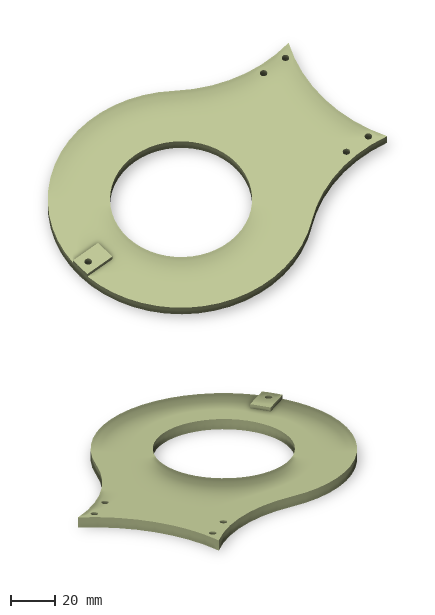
import cadquery as cq
import math

total_length = 153.0
ring_radius = 60.0
bore_diameter = 64.0
plate_thickness = 5.0

waist_half_width = 32.7
flank_radius = 70.0
top_edge_radius = 76.5
corner_y = total_length - ring_radius

hole_diameter = 3.4
neck_hole_spacing_x = 57.2
neck_hole_spacing_y = 13.0
neck_hole_centre_y = 80.0
tab_hole_y = -55.0

tab_width = 10.0
tab_length = 15.0
tab_height = 2.0

flank_x = waist_half_width + flank_radius
flank_y = math.sqrt((ring_radius + flank_radius) ** 2 - flank_x**2)


def flank_point(y):
    """Point of the right flank arc at height y."""
    return flank_x - math.sqrt(flank_radius**2 - (y - flank_y) ** 2), y


def mirrored(point):
    """Point reflected to the left half."""
    return -point[0], point[1]


def make_plate():
    """Ring and neck outline with the central bore."""
    tangent_ratio = ring_radius / (ring_radius + flank_radius)
    tangent_point = (flank_x * tangent_ratio, flank_y * tangent_ratio)
    corner = flank_point(corner_y)
    waist = (waist_half_width, flank_y)
    top_edge_sag = top_edge_radius - math.sqrt(top_edge_radius**2 - corner[0] ** 2)
    return (
        cq.Workplane("XY")
        .moveTo(*tangent_point)
        .threePointArc(waist, corner)
        .threePointArc((0, corner_y - top_edge_sag), mirrored(corner))
        .threePointArc(mirrored(waist), mirrored(tangent_point))
        .threePointArc((0, -ring_radius), tangent_point)
        .close()
        .extrude(plate_thickness)
        .faces(">Z")
        .workplane(origin=(0, 0, plate_thickness))
        .hole(bore_diameter)
    )


def make_tab():
    """Raised tab whose outer end follows the ring edge."""
    block = (
        cq.Workplane("XY")
        .rect(tab_width, tab_length)
        .extrude(plate_thickness + tab_height)
        .translate((0, tab_length / 2 - ring_radius, 0))
    )
    ring_disc = cq.Workplane("XY").circle(ring_radius).extrude(plate_thickness + tab_height)
    return block.intersect(ring_disc)


def make_screw_holes():
    """Through holes: four in the neck and one in the tab."""
    neck_holes = [
        (side * neck_hole_spacing_x / 2, neck_hole_centre_y + end * neck_hole_spacing_y / 2)
        for side in (-1, 1)
        for end in (-1, 1)
    ]
    return (
        cq.Workplane("XY")
        .pushPoints(neck_holes + [(0, tab_hole_y)])
        .circle(hole_diameter / 2)
        .extrude(plate_thickness + tab_height)
    )


result = make_plate().union(make_tab()).cut(make_screw_holes())